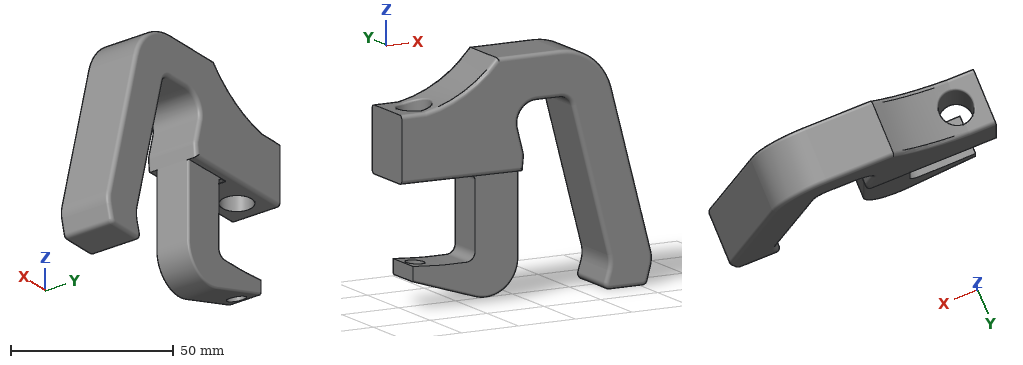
import cadquery as cq
import math

LENGTH = 88.3
HEIGHT = 77.4
BODY_WIDTH = 19.0
BODY_EDGE_ROUND = 1.3

NOSE_TOP = 62.9
NOSE_BOTTOM = 41.1
NOSE_FLAT = 8.7
SHOULDER_MIDDLE = (23.3, 68.45)
SHOULDER_END = 33.9

LEAN = math.radians(14.7)
HANDLE_SPAN_X = 15.0
FOOT_SPAN_X = 15.3
KNEE_HEIGHT = 8.4
KNEE_ROUND = 8.8
FOOT_ROUND = 1.8
HANDLE_TOP_ROUND = 18.55

OPENING_TOP = 62.6
OPENING_CORNER = 39.0
OPENING_FRONT_ROUND = 6.6
OPENING_REAR_ROUND = 4.4
REAR_BULGE = (43.4, 45.75)
REAR_BULGE_ROUND = 4.4
BODY_REAR_BOTTOM = (42.8, 40.7)

HOOK_WIDTH = 12.7
HOOK_FRONT = 27.5
HOOK_EDGE_ROUND = 0.7
HOOK_OVERLAP = 2.65
HOOK_HEEL = (BODY_REAR_BOTTOM[0], -2.7)
HOOK_HEEL_ROUND = 11.5
HOOK_INNER_ROUND = 3.1
HOOK_ROOT_ROUND = 1.8
HOOK_ROOT_LENGTH = 3.5
FLOOR_BEND = (15.9, 13.4)
FLOOR_BEND_ROUND = 88.3
TOE_FRONT = 5.65
TOE_TOP = 14.1
TOE_BOTTOM = 9.2

SCREW_HOLE_X = 9.5
SCREW_HOLE_DIAMETER = 11.0
SCREW_RIM_ROUND = 0.6
RIM_MARGIN = 0.4
TOE_HOLE_X = 9.8
TOE_HOLE_DIAMETER = 6.2


def add_corner(outline, before, corner, after, radius):
    """Draw up to a corner and round it with an arc tangent to both of its sides."""
    point = cq.Vector(*corner)
    to_before = (cq.Vector(*before) - point).normalized()
    to_after = (cq.Vector(*after) - point).normalized()
    half_angle = to_before.getAngle(to_after) / 2
    setback = radius / math.tan(half_angle)
    bisector = (to_before + to_after).normalized()
    arc_start = point + to_before * setback
    arc_middle = point + bisector * (radius / math.sin(half_angle) - radius)
    arc_end = point + to_after * setback
    outline = outline.lineTo(arc_start.x, arc_start.y)
    return outline.threePointArc((arc_middle.x, arc_middle.y), (arc_end.x, arc_end.y))


def add_path(outline, start, corners, end):
    """Run through (point, radius) corners from start to end; radius 0 keeps a corner sharp."""
    points = [start] + [corner for corner, _ in corners] + [end]
    for index, (corner, radius) in enumerate(corners, start=1):
        if radius:
            outline = add_corner(outline, points[index - 1], corner, points[index + 1], radius)
        else:
            outline = outline.lineTo(*corner)
    return outline.lineTo(*end)


def extrude_centred(outline, width):
    return outline.close().extrude(width / 2, both=True)


def make_body():
    slope = math.tan(LEAN)
    knee_x = LENGTH + KNEE_ROUND * (1 / math.cos(LEAN) - 1)
    outer_top_x = knee_x - slope * (HEIGHT - KNEE_HEIGHT)
    foot_x = knee_x - slope * KNEE_HEIGHT
    inner_top_x = knee_x - HANDLE_SPAN_X - slope * (OPENING_TOP - KNEE_HEIGHT)
    shoulder_top = (SHOULDER_END, HEIGHT)
    corners = [
        ((outer_top_x, HEIGHT), HANDLE_TOP_ROUND),
        ((knee_x, KNEE_HEIGHT), KNEE_ROUND),
        ((foot_x, 0), FOOT_ROUND),
        ((foot_x - FOOT_SPAN_X, 0), FOOT_ROUND),
        ((knee_x - HANDLE_SPAN_X, KNEE_HEIGHT), KNEE_ROUND),
        ((inner_top_x, OPENING_TOP), OPENING_REAR_ROUND),
        ((OPENING_CORNER, OPENING_TOP), OPENING_FRONT_ROUND),
        (REAR_BULGE, REAR_BULGE_ROUND),
        (BODY_REAR_BOTTOM, 0),
    ]
    outline = (
        cq.Workplane("XZ")
        .moveTo(0, NOSE_BOTTOM)
        .lineTo(0, NOSE_TOP)
        .lineTo(NOSE_FLAT, NOSE_TOP)
        .threePointArc(SHOULDER_MIDDLE, shoulder_top)
    )
    outline = add_path(outline, shoulder_top, corners, (0, NOSE_BOTTOM))
    body = extrude_centred(outline, BODY_WIDTH)
    side_edges = body.faces("<Y or >Y").edges("not <X")
    return side_edges.fillet(BODY_EDGE_ROUND)


def make_hook():
    root_height = BODY_REAR_BOTTOM[1]
    root_front = HOOK_FRONT - HOOK_ROOT_LENGTH
    top = root_height + HOOK_OVERLAP
    start = (HOOK_HEEL[0], top)
    corners = [
        (HOOK_HEEL, HOOK_HEEL_ROUND),
        ((TOE_FRONT, TOE_BOTTOM), 0),
        ((TOE_FRONT, TOE_TOP), 0),
        (FLOOR_BEND, FLOOR_BEND_ROUND),
        ((HOOK_FRONT, FLOOR_BEND[1]), HOOK_INNER_ROUND),
        ((HOOK_FRONT, root_height), HOOK_ROOT_ROUND),
        ((root_front, root_height), 0),
    ]
    outline = cq.Workplane("XZ").moveTo(*start)
    outline = add_path(outline, start, corners, (root_front, top))
    hook = extrude_centred(outline, HOOK_WIDTH)
    return hook.faces(">X").edges("|Z").fillet(HOOK_EDGE_ROUND)


def hole_tool(x, diameter, bottom, top):
    return cq.Workplane("XY", origin=(x, 0, bottom)).circle(diameter / 2).extrude(top - bottom)


def cut_screw_hole(body):
    body = body.cut(hole_tool(SCREW_HOLE_X, SCREW_HOLE_DIAMETER, 0, HEIGHT))
    reach = SCREW_HOLE_DIAMETER / 2 + RIM_MARGIN
    rim_box = cq.selectors.BoxSelector(
        (SCREW_HOLE_X - reach, -reach, NOSE_TOP - RIM_MARGIN),
        (SCREW_HOLE_X + reach, reach, HEIGHT),
    )
    return body.edges(rim_box).fillet(SCREW_RIM_ROUND)


hook = make_hook().cut(hole_tool(TOE_HOLE_X, TOE_HOLE_DIAMETER, 0, NOSE_BOTTOM))
result = cut_screw_hole(make_body()).union(hook)